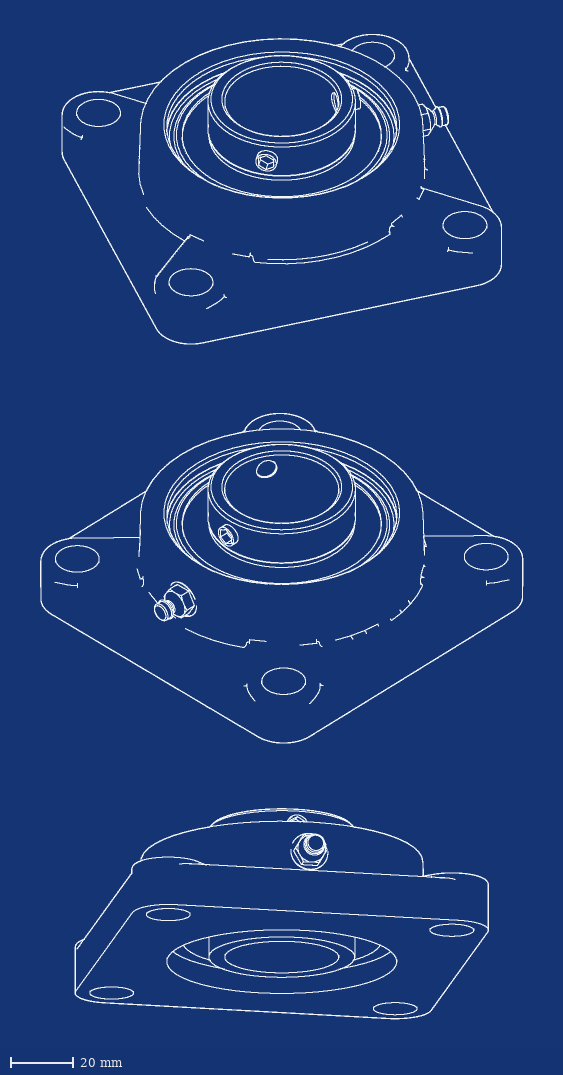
import cadquery as cq
import math

flange_side = 116.0
plate_top = 14.2
edge_round = 0.9
pad_top = plate_top + 2 * edge_round
corner_radius = 11.7
bolt_hole_diameter = 14.0
corner_offset = flange_side / 2 - corner_radius
corner_distance = corner_offset * math.sqrt(2)

barrel_top = 34.0
barrel_top_radius = 45.2
barrel_base_radius = 45.8
mouth_diameter = 73.7
mouth_chamfer = 0.9
seat_radius = 77.5 / 2
seat_height = 18.5

outer_ring_half_width = 11.6
outer_ring_bore_radius = 63.8 / 2
outer_ring_top = seat_height + outer_ring_half_width
bevel_inner_radius = 36.0
bevel_depth = 0.7
ring_face = outer_ring_top - bevel_depth
lip_base_radius = 34.6
lip_top_radius = 33.8
lip_height = 0.5
lip_top = ring_face + lip_height

inner_ring_bottom = 1.5
inner_ring_top = 44.4
bore_radius = 36.5 / 2
collar_radius = 47.2 / 2
neck_radius = 46.7 / 2
collar_bottom = 31.7
inner_ring_chamfer = 0.9

seal_bottom = 27.4
seal_rim_top = 28.9
seal_centre_top = 29.8

screw_diameter = 6.7
screw_height = 38.3
screw_inner_end = 18.8
screw_outer_end = 25.5
socket_across_flats = 4.9
socket_depth = 2.9
screw_angles = (90, -30)

nipple_height = 23.9
nipple_seat = 45.1
spot_face_diameter = 12.1
nipple_tip = 55.7
nipple_tip_radius = 1.5 / 2
hex_end = 48.8
hex_chamfer = 0.3
hex_across_flats = 8.9
neck_start = 51.0
neck_end = 51.6
nipple_neck_radius = 2.2
shoulder_position = 50.5
shoulder_radius = 2.9
bead_position = 53.0
bead_radius = 6.7 / 2
bead_half_width = 0.3
head_radius = 6.0 / 2
head_end = 55.6
head_chamfer = 0.5


def revolve_about_z(profile):
    return profile.close().revolve(360, (0, 0, 0), (0, 1, 0))


def arc_middle(centre_x, centre_z, quadrant_x, quadrant_z):
    """Middle point of a quarter arc of the common edge radius."""
    reach = edge_round / math.sqrt(2)
    return (centre_x + quadrant_x * reach, centre_z + quadrant_z * reach)


def rounded_rim(profile, radius, top):
    """Continue a wall line up over a rounded top edge to the centre line."""
    flat_edge = radius - edge_round
    return (
        profile.lineTo(radius, top - edge_round)
        .threePointArc(
            arc_middle(flat_edge, top - edge_round, 1, 1),
            (flat_edge, top),
        )
        .lineTo(0, top)
    )


def make_pad(angle):
    """Straight pad from the flange centre with a round end about its bolt hole.

    The straight sides have a hollow foot fillet that runs into the rounded top edge.
    """
    foot_edge = corner_radius + edge_round
    flat_edge = corner_radius - edge_round
    wall_middle = plate_top + edge_round
    half_run = (
        cq.Workplane("XZ")
        .lineTo(foot_edge, 0)
        .lineTo(foot_edge, plate_top)
        .threePointArc(
            arc_middle(foot_edge, wall_middle, -1, -1),
            (corner_radius, wall_middle),
        )
        .threePointArc(
            arc_middle(flat_edge, wall_middle, 1, 1),
            (flat_edge, pad_top),
        )
        .lineTo(0, pad_top)
        .close()
        .extrude(-corner_distance)
    )
    end = revolve_about_z(rounded_rim(cq.Workplane("XZ").lineTo(corner_radius, 0), corner_radius, pad_top))
    pad = half_run.union(half_run.mirror("YZ")).union(end.translate((0, corner_distance, 0)))
    return pad.rotate((0, 0, 0), (0, 0, 1), angle)


def barrel_radius_at(height):
    """Radius of the slightly tapered barrel wall."""
    taper_bottom = plate_top + edge_round
    taper_top = barrel_top - edge_round
    share = (height - taper_bottom) / (taper_top - taper_bottom)
    return barrel_base_radius + share * (barrel_top_radius - barrel_base_radius)


def make_foot(floor):
    """Ring with a hollow fillet that joins the barrel wall to a flat floor."""
    foot_top = floor + edge_round
    wall_radius = barrel_radius_at(foot_top)
    foot_edge = wall_radius + edge_round
    return revolve_about_z(
        cq.Workplane("XZ")
        .lineTo(foot_edge, 0)
        .lineTo(foot_edge, floor)
        .threePointArc(
            arc_middle(foot_edge, foot_top, -1, -1),
            (wall_radius, foot_top),
        )
        .lineTo(0, foot_top)
    )


def make_flange():
    plate = (
        cq.Workplane("XY")
        .rect(flange_side, flange_side)
        .extrude(plate_top)
        .edges("|Z")
        .fillet(corner_radius)
        .faces(">Z")
        .edges()
        .fillet(edge_round)
    )
    pad_foot = make_foot(pad_top)
    pad_run = cq.Workplane("XY").rect(2 * (corner_radius - edge_round), flange_side).extrude(barrel_top)
    flange = plate.union(make_foot(plate_top))
    for angle in (45, 135, 225, 315):
        flange = flange.union(make_pad(angle))
    for angle in (45, 135):
        flange = flange.union(pad_foot.intersect(pad_run.rotate((0, 0, 0), (0, 0, 1), angle)))
    return flange


def make_barrel():
    wall = cq.Workplane("XZ").lineTo(barrel_base_radius, 0).lineTo(barrel_base_radius, plate_top + edge_round)
    return revolve_about_z(rounded_rim(wall, barrel_top_radius, barrel_top))


def make_bearing_cavity():
    """Through mouth with a chamfered rim and a spherical seat."""
    mouth_radius = mouth_diameter / 2
    mouth = revolve_about_z(
        cq.Workplane("XZ")
        .lineTo(mouth_radius, 0)
        .lineTo(mouth_radius, barrel_top - mouth_chamfer)
        .lineTo(mouth_radius + mouth_chamfer, barrel_top)
        .lineTo(0, barrel_top)
    )
    sphere_limit = math.sqrt(seat_radius**2 - mouth_radius**2)
    seat = cq.Workplane("XY").sphere(seat_radius).intersect(
        cq.Workplane("XY").circle(barrel_base_radius).extrude(sphere_limit, both=True)
    )
    return mouth.union(seat.translate((0, 0, seat_height)))


def make_spot_face():
    """Flat round seat for the grease nipple on the +Y side of the barrel."""
    return (
        cq.Workplane("XZ", origin=(0, nipple_seat, nipple_height))
        .circle(spot_face_diameter / 2)
        .extrude(nipple_seat - barrel_base_radius)
    )


def make_housing():
    bolt_holes = (
        cq.Workplane("XY")
        .rect(2 * corner_offset, 2 * corner_offset, forConstruction=True)
        .vertices()
        .circle(bolt_hole_diameter / 2)
        .extrude(barrel_top)
    )
    housing = make_flange().union(make_barrel())
    return housing.cut(bolt_holes).cut(make_bearing_cavity()).cut(make_spot_face())


def make_outer_ring():
    """Ring with a spherical outside, an inner bevel and a raised lip at its bore."""
    ring_bottom = seat_height - outer_ring_half_width
    end_radius = math.sqrt(seat_radius**2 - outer_ring_half_width**2)
    return revolve_about_z(
        cq.Workplane("XZ")
        .moveTo(outer_ring_bore_radius, ring_bottom)
        .lineTo(end_radius, ring_bottom)
        .threePointArc((seat_radius, seat_height), (end_radius, outer_ring_top))
        .lineTo(mouth_diameter / 2, outer_ring_top)
        .lineTo(bevel_inner_radius, ring_face)
        .lineTo(lip_base_radius, ring_face)
        .lineTo(lip_top_radius, lip_top)
        .lineTo(outer_ring_bore_radius, lip_top)
    )


def make_inner_ring():
    ring = revolve_about_z(
        cq.Workplane("XZ")
        .moveTo(bore_radius, inner_ring_bottom)
        .lineTo(neck_radius, inner_ring_bottom)
        .lineTo(neck_radius, collar_bottom)
        .lineTo(collar_radius, collar_bottom)
        .lineTo(collar_radius, inner_ring_top - inner_ring_chamfer)
        .lineTo(collar_radius - inner_ring_chamfer, inner_ring_top)
        .lineTo(bore_radius + inner_ring_chamfer, inner_ring_top)
        .lineTo(bore_radius, inner_ring_top - inner_ring_chamfer)
    )
    for angle in screw_angles:
        ring = ring.cut(make_screw_hole(angle))
    return ring


def make_seal():
    return revolve_about_z(
        cq.Workplane("XZ")
        .moveTo(neck_radius, seal_bottom)
        .lineTo(outer_ring_bore_radius, seal_bottom)
        .lineTo(outer_ring_bore_radius, seal_rim_top)
        .lineTo(neck_radius, seal_centre_top)
    )


def make_screw_hole(angle):
    hole = cq.Workplane("YZ").circle(screw_diameter / 2).extrude(screw_outer_end)
    return hole.translate((0, 0, screw_height)).rotate((0, 0, 0), (0, 0, 1), angle)


def make_screw(angle):
    socket_corner_diameter = socket_across_flats / math.cos(math.pi / 6)
    screw = (
        cq.Workplane("YZ", origin=(screw_inner_end, 0, screw_height))
        .circle(screw_diameter / 2)
        .extrude(screw_outer_end - screw_inner_end)
        .faces(">X")
        .workplane()
        .transformed(rotate=(0, 0, 90))
        .polygon(6, socket_corner_diameter)
        .cutBlind(-socket_depth)
    )
    return screw.rotate((0, 0, 0), (0, 0, 1), angle)


def make_nipple():
    hex_corner_diameter = hex_across_flats / math.cos(math.pi / 6)
    hex_flat_radius = hex_across_flats / 2
    base = (
        cq.Workplane("XZ", origin=(0, nipple_seat, 0))
        .polygon(6, hex_corner_diameter)
        .extrude(nipple_seat - hex_end)
    )
    chamfer_envelope = (
        cq.Workplane("XZ", origin=(0, nipple_seat, 0))
        .circle(hex_corner_diameter / 2)
        .extrude(nipple_seat - hex_end)
        .faces(">Y")
        .chamfer(hex_chamfer, hex_corner_diameter / 2 - hex_flat_radius)
    )
    head = (
        cq.Workplane("XY")
        .moveTo(0, hex_end)
        .lineTo(hex_flat_radius, hex_end)
        .lineTo(shoulder_radius, shoulder_position)
        .lineTo(nipple_neck_radius, neck_start)
        .lineTo(nipple_neck_radius, neck_end)
        .lineTo(head_radius, bead_position - bead_half_width)
        .lineTo(bead_radius, bead_position)
        .lineTo(head_radius, bead_position + bead_half_width)
        .lineTo(head_radius, head_end - head_chamfer)
        .lineTo(head_radius - head_chamfer, head_end)
        .lineTo(nipple_tip_radius, nipple_tip)
        .lineTo(0, nipple_tip)
        .close()
        .revolve(360, (0, 0, 0), (0, 1, 0))
    )
    return base.intersect(chamfer_envelope).union(head).translate((0, 0, nipple_height))


housing = make_housing()
outer_ring = make_outer_ring()
inner_ring = make_inner_ring()
seal = make_seal()
screws = [make_screw(angle) for angle in screw_angles]
nipple = make_nipple()

bodies = [housing, outer_ring, inner_ring, seal, *screws, nipple]
result = cq.Compound.makeCompound([body.solids().val() for body in bodies])